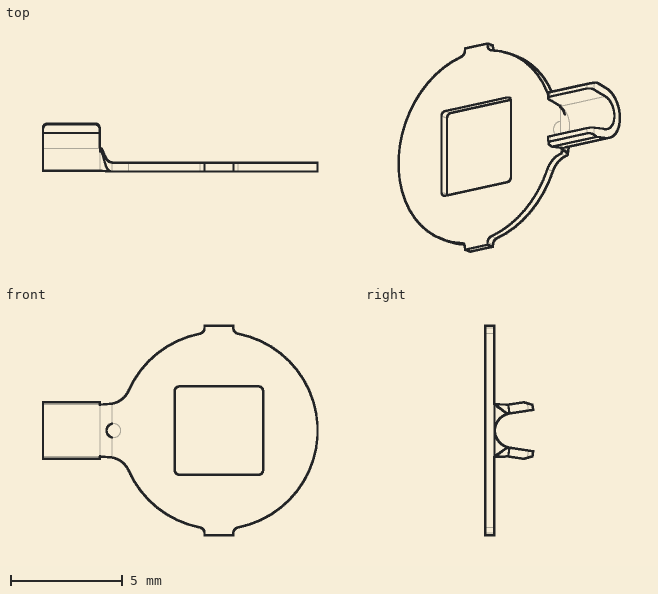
import cadquery as cq
import math


thickness = 0.41
disc_radius = 4.43
hole_side = 3.95
hole_corner_radius = 0.2
tab_width = 1.3
tab_tip_height = 4.7
tab_root_radius = 0.25

neck_half_width = 1.21
neck_end_x = -4.79
neck_fillet_radius = 1.0
plug_center_x = -4.72
plug_radius = 0.315
plug_depth = thickness

overall_length = 12.32
overall_depth = 2.16
barrel_length = 2.55
barrel_setback = 0.03
barrel_outer_radius = 1.18
leg_flare = math.radians(8.7)
tip_bevel_depth = 0.37
tip_thickness = 0.235
tip_corner_radius = 0.22

flattening_arcs = [(0.3, math.radians(55)), (0.6, math.radians(12))]

barrel_start_x = disc_radius - overall_length
barrel_end_x = barrel_start_x + barrel_length


def extrude_back(sketch, depth):
    """Extrude a sketch on the XZ plane from Y = 0 toward +Y."""
    return sketch.extrude(-depth)


def make_plate():
    disc = extrude_back(cq.Workplane("XZ").circle(disc_radius), thickness)
    tabs = extrude_back(cq.Workplane("XZ").rect(tab_width, 2 * tab_tip_height), thickness)
    tab_root_z = math.sqrt(disc_radius ** 2 - (tab_width / 2) ** 2)
    plate = disc.union(tabs)
    half_width = tab_width / 2
    for side in (-1, 1):
        for end in (-1, 1):
            root = cq.selectors.NearestToPointSelector(
                (side * half_width, thickness / 2, end * tab_root_z)
            )
            plate = plate.edges("|Y").edges(root).fillet(tab_root_radius)
    hole = extrude_back(cq.Workplane("XZ").rect(hole_side, hole_side), thickness)
    return plate.cut(hole.edges("|Y").fillet(hole_corner_radius))


def make_neck():
    """Web from the end of the transition to the disc, with concave flanks tangent to the disc."""
    center_distance = disc_radius + neck_fillet_radius
    corner_distance = math.hypot(neck_end_x, neck_half_width)
    cosine = (center_distance ** 2 + corner_distance ** 2 - neck_fillet_radius ** 2) / (
        2 * center_distance * corner_distance
    )
    center_angle = math.atan2(neck_half_width, neck_end_x) - math.acos(cosine)
    center_x = center_distance * math.cos(center_angle)
    center_z = center_distance * math.sin(center_angle)
    tangent_x = disc_radius * math.cos(center_angle)
    tangent_z = disc_radius * math.sin(center_angle)
    corner_direction = math.atan2(neck_half_width - center_z, neck_end_x - center_x)
    tangent_direction = center_angle - math.pi
    middle_direction = (corner_direction + tangent_direction) / 2
    middle_x = center_x + neck_fillet_radius * math.cos(middle_direction)
    middle_z = center_z + neck_fillet_radius * math.sin(middle_direction)
    outline = (
        cq.Workplane("XZ")
        .moveTo(neck_end_x, -neck_half_width)
        .lineTo(neck_end_x, neck_half_width)
        .threePointArc((middle_x, middle_z), (tangent_x, tangent_z))
        .lineTo(tangent_x, -tangent_z)
        .threePointArc((middle_x, -middle_z), (neck_end_x, -neck_half_width))
        .close()
    )
    return extrude_back(outline, thickness)


def make_barrel():
    """U-shaped channel whose flared legs end in bevelled, round-cornered tips."""
    inner_radius = barrel_outer_radius - thickness
    center_y = barrel_setback + barrel_outer_radius
    sine = math.sin(leg_flare)
    cosine = math.cos(leg_flare)

    def leg_point(distance, radius):
        """Point (Y, Z) on the upper leg, this far past tangency and this far from the axis."""
        return (
            center_y - radius * sine + distance * cosine,
            radius * cosine + distance * sine,
        )

    def mirrored(point):
        return (point[0], -point[1])

    leg_length = (overall_depth - center_y + inner_radius * sine) / cosine
    outer_root = leg_point(0, barrel_outer_radius)
    bevel_start = leg_point(leg_length - tip_bevel_depth, barrel_outer_radius)
    tip_outer = leg_point(leg_length, inner_radius + tip_thickness)
    tip_inner = leg_point(leg_length, inner_radius)
    inner_root = leg_point(0, inner_radius)
    barrel = (
        cq.Workplane("YZ", origin=(barrel_start_x, 0, 0))
        .moveTo(*outer_root)
        .lineTo(*bevel_start)
        .lineTo(*tip_outer)
        .lineTo(*tip_inner)
        .lineTo(*inner_root)
        .threePointArc((center_y - inner_radius, 0), mirrored(inner_root))
        .lineTo(*mirrored(tip_inner))
        .lineTo(*mirrored(tip_outer))
        .lineTo(*mirrored(bevel_start))
        .lineTo(*mirrored(outer_root))
        .threePointArc((barrel_setback, 0), outer_root)
        .close()
        .extrude(barrel_length)
    )
    tip_y = (tip_outer[0] + tip_inner[0]) / 2
    tip_z = (tip_outer[1] + tip_inner[1]) / 2
    for x in (barrel_start_x, barrel_end_x):
        for z in (-tip_z, tip_z):
            corner = cq.selectors.NearestToPointSelector((x, tip_y, z))
            barrel = barrel.edges(corner).fillet(tip_corner_radius)
    return barrel


def arc_section(x, front_y, outer_radius, half_angle):
    """Wire of a constant-thickness arc band in the plane at x, bulging toward -Y."""
    center_y = front_y + outer_radius
    inner_radius = outer_radius - thickness

    def on_arc(radius, angle):
        return cq.Vector(x, center_y - radius * math.cos(angle), radius * math.sin(angle))

    outer = [on_arc(outer_radius, angle) for angle in (-half_angle, 0, half_angle)]
    inner = [on_arc(inner_radius, angle) for angle in (half_angle, 0, -half_angle)]
    return cq.Wire.assembleEdges([
        cq.Edge.makeThreePointArc(*outer),
        cq.Edge.makeLine(outer[-1], inner[0]),
        cq.Edge.makeThreePointArc(*inner),
        cq.Edge.makeLine(inner[-1], outer[0]),
    ])


def make_transition():
    """Loft that flattens the barrel's arc into the rectangular neck section."""
    barrel_half_angle = math.pi / 2 - leg_flare
    barrel_half_width = barrel_outer_radius * math.sin(barrel_half_angle)
    sections = []
    for fraction, half_angle in [(0, barrel_half_angle)] + flattening_arcs:
        x = barrel_end_x + fraction * (neck_end_x - barrel_end_x)
        front_y = barrel_setback * (1 - fraction)
        half_width = barrel_half_width + fraction * (neck_half_width - barrel_half_width)
        outer_radius = half_width / math.sin(half_angle)
        sections.append(arc_section(x, front_y, outer_radius, half_angle))
    neck_section = cq.Wire.makePolygon(
        [
            cq.Vector(neck_end_x, 0, -neck_half_width),
            cq.Vector(neck_end_x, 0, neck_half_width),
            cq.Vector(neck_end_x, thickness, neck_half_width),
            cq.Vector(neck_end_x, thickness, -neck_half_width),
        ],
        close=True,
    )
    return cq.Workplane(cq.Solid.makeLoft(sections + [neck_section]))


def make_plug():
    """Round pad, flush with the plate's front face, at the root of the neck."""
    return extrude_back(
        cq.Workplane("XZ").center(plug_center_x, 0).circle(plug_radius), plug_depth
    )


body = make_plate().union(make_neck()).union(make_transition()).union(make_barrel())
plug = make_plug()
result = body.cut(plug).union(plug, clean=False)